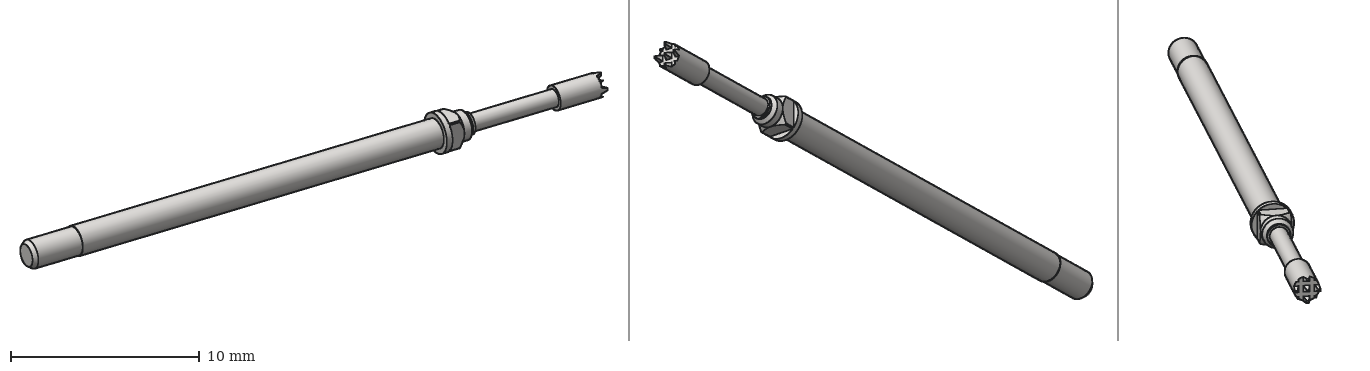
import cadquery as cq

overall_length = 35.8

tail_diameter = 1.6
tail_length = 3.0
tail_end_diameter = 1.25
tail_taper_length = 0.25
barrel_diameter = 1.7

flange_diameter = 2.3
flange_width = 0.35
flange_to_tip = 9.95

square_size = 1.7
corner_diameter = flange_diameter
square_length = 0.65
corner_chamfer_length = 0.3

neck_diameter = square_size
nose_diameter = 1.25
nose_length = 0.15
nose_cone_length = 0.2
nose_to_tip = 8.2

plunger_diameter = 1.0
head_diameter = 1.4
head_length = 2.95
groove_offset = 0.305
groove_width = 0.5
groove_floor_width = 0.25
groove_depth = 0.35

flange_top = overall_length - flange_to_tip
flange_bottom = flange_top - flange_width
square_top = flange_top + square_length
corner_chamfer_top = square_top + corner_chamfer_length
nose_top = overall_length - nose_to_tip
nose_cone_top = nose_top - nose_length
neck_top = nose_cone_top - nose_cone_length
head_bottom = overall_length - head_length


def cylinder(diameter, start, end):
    """Solid cylinder along Y between two stations."""
    return cone(diameter, diameter, start, end)


def cone(start_diameter, end_diameter, start, end):
    """Solid of revolution about Y whose diameter changes evenly between two stations."""
    profile = [(0, start), (start_diameter / 2, start), (end_diameter / 2, end), (0, end)]
    return cq.Workplane("XY").polyline(profile).close().revolve(360, (0, 0), (0, 1))


def make_barrel():
    """Tail plug with a tapered end, then the long barrel and the stop flange."""
    taper = cone(tail_end_diameter, tail_diameter, 0, tail_taper_length)
    tail = taper.union(cylinder(tail_diameter, tail_taper_length, tail_length))
    barrel = cylinder(barrel_diameter, tail_length, flange_bottom)
    flange = cylinder(flange_diameter, flange_bottom, flange_top)
    return tail.union(barrel).union(flange)


def make_collar():
    """Square with turned corners, running into a round neck with a conical nose."""
    turned = cylinder(corner_diameter, flange_top, square_top)
    turned = turned.union(cone(corner_diameter, neck_diameter, square_top, corner_chamfer_top))
    height = corner_chamfer_top - flange_top
    square = cq.Workplane("XY").box(square_size, height, square_size)
    square = square.translate((0, flange_top + height / 2, 0))
    neck = cylinder(neck_diameter, corner_chamfer_top, neck_top)
    nose_cone = cone(neck_diameter, nose_diameter, neck_top, nose_cone_top)
    nose = cylinder(nose_diameter, nose_cone_top, nose_top)
    return turned.intersect(square).union(neck).union(nose_cone).union(nose)


def make_plunger():
    """Slim plunger with a head cut into teeth by two pairs of crossing tapered grooves."""
    rod = cylinder(plunger_diameter, nose_top, head_bottom)
    head = cylinder(head_diameter, head_bottom, overall_length)
    groove_floor = overall_length - groove_depth
    for center in (-groove_offset, groove_offset):
        section = [
            (center - groove_width / 2, overall_length),
            (center - groove_floor_width / 2, groove_floor),
            (center + groove_floor_width / 2, groove_floor),
            (center + groove_width / 2, overall_length),
        ]
        groove = cq.Workplane("XY").polyline(section).close().extrude(head_diameter, both=True)
        crossing_groove = groove.rotate((0, 0, 0), (0, 1, 0), 90)
        head = head.cut(groove).cut(crossing_groove)
    return rod.union(head)


result = make_barrel().union(make_collar()).union(make_plunger())